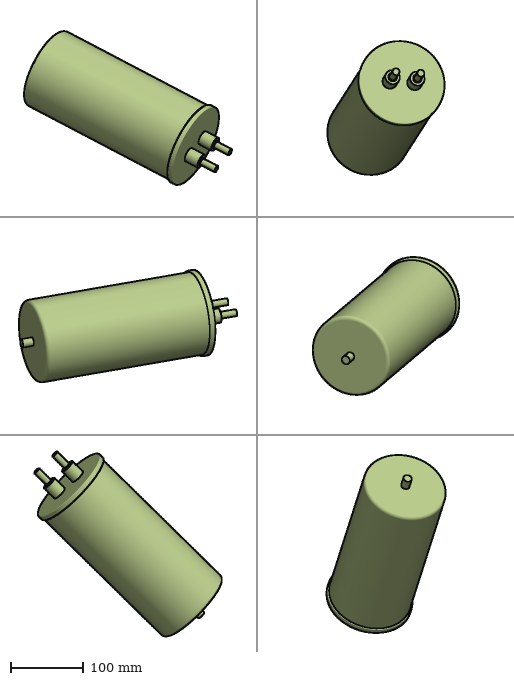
import cadquery as cq

overall_length = 311.0
can_diameter = 116.5
can_edge_radius = 5.0

rim_diameter = 121.0
rim_width = 8.0
rim_edge_radius = 1.0

stud_diameter = 12.0
stud_length = 16.0

terminal_pitch = 35.0
insulator_diameter = 20.5
insulator_length = 21.0
collar_diameter = 12.0
collar_length = 1.5
terminal_length = 46.0
pin_diameter = 10.0

can_length = overall_length - stud_length - terminal_length
pin_length = terminal_length - insulator_length - collar_length


def rod(diameter, start_x, length, center_y=0.0):
    """Solid cylinder parallel to X, running toward +X from start_x."""
    plane = cq.Workplane("YZ", origin=(start_x, center_y, 0))
    return plane.circle(diameter / 2).extrude(length)


def make_can():
    """Can with a rounded rear edge."""
    return rod(can_diameter, 0, can_length).faces("<X").edges().fillet(can_edge_radius)


def make_rim():
    """Raised rim, flush with the terminal face, rounded on both edges."""
    rim = rod(rim_diameter, can_length - rim_width, rim_width)
    return rim.faces("<X or >X").edges().fillet(rim_edge_radius)


def make_terminal(center_y):
    """Stepped terminal standing on the front face of the can."""
    collar_start = can_length + insulator_length
    pin_start = collar_start + collar_length
    insulator = rod(insulator_diameter, can_length, insulator_length, center_y)
    collar = rod(collar_diameter, collar_start, collar_length, center_y)
    pin = rod(pin_diameter, pin_start, pin_length, center_y)
    return insulator.union(collar).union(pin)


rear_stud = rod(stud_diameter, -stud_length, stud_length)

result = make_can().union(make_rim()).union(rear_stud)
for side in (-1, 1):
    result = result.union(make_terminal(side * terminal_pitch / 2))